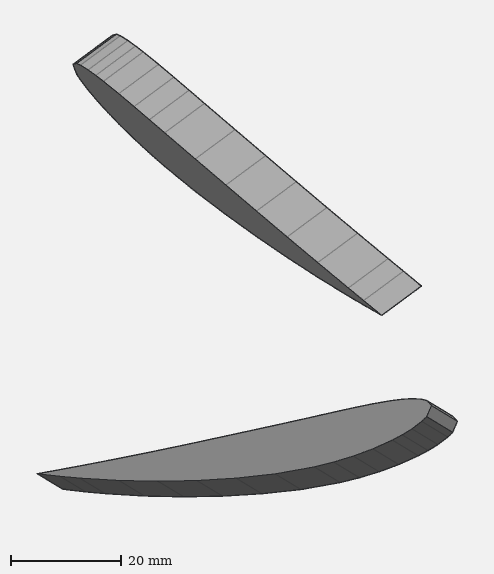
import cadquery as cq
import math

LENGTH = 81.3
SPAN = 10.0
MAX_CAMBER = 0.04
CAMBER_POSITION = 0.4
THICKNESS = 0.12
SOLVER_STEPS = 30

STATIONS = [1.25, 2.5, 5, 7.5, 10, 15, 20, 25, 30, 40, 50, 60, 70, 80, 90, 95]


def half_thickness(x):
    """NACA four-digit half thickness at chord fraction x."""
    polynomial = 0.2969 * math.sqrt(x) - 0.126 * x - 0.3516 * x**2 + 0.2843 * x**3 - 0.1015 * x**4
    return 5 * THICKNESS * polynomial


def camber(x):
    """Height and slope angle of the mean line at chord fraction x."""
    p = CAMBER_POSITION
    reach = p if x < p else 1 - p
    height = MAX_CAMBER / reach**2 * (reach**2 - (x - p) ** 2)
    slope = 2 * MAX_CAMBER / reach**2 * (p - x)
    return height, math.atan(slope)


def surface_height(station, side):
    """Height above the chord line; side is +1 (cambered) or -1 (flatter)."""
    x = station
    for _ in range(SOLVER_STEPS):
        _, angle = camber(x)
        target = station + side * half_thickness(x) * math.sin(angle)
        x = max(0.0, (x + target) / 2)
    height, angle = camber(x)
    return height + side * half_thickness(x) * math.cos(angle)


def sharp_tip():
    """Meeting point of the two last facets, carried past the blunt trailing edge."""
    last = STATIONS[-1] / 100
    upper_end = surface_height(1.0, 1)
    lower_end = surface_height(1.0, -1)
    upper_slope = (upper_end - surface_height(last, 1)) / (1 - last)
    lower_slope = (lower_end - surface_height(last, -1)) / (1 - last)
    overrun = (upper_end - lower_end) / (lower_slope - upper_slope)
    return 1 + overrun, upper_end + upper_slope * overrun


tip_x, tip_height = sharp_tip()
chord = LENGTH / tip_x


def side_points(side):
    """Facet corners of one side from nose to tail, turned over so camber faces -Z."""
    points = []
    for percent in STATIONS:
        station = percent / 100
        points.append((chord * station, -chord * surface_height(station, side)))
    return points


nose = (0, 0)
tip = (LENGTH, -chord * tip_height)
outline = [nose] + side_points(-1) + [tip] + side_points(1)[::-1]

result = cq.Workplane("XZ").polyline(outline).close().extrude(SPAN / 2, both=True)